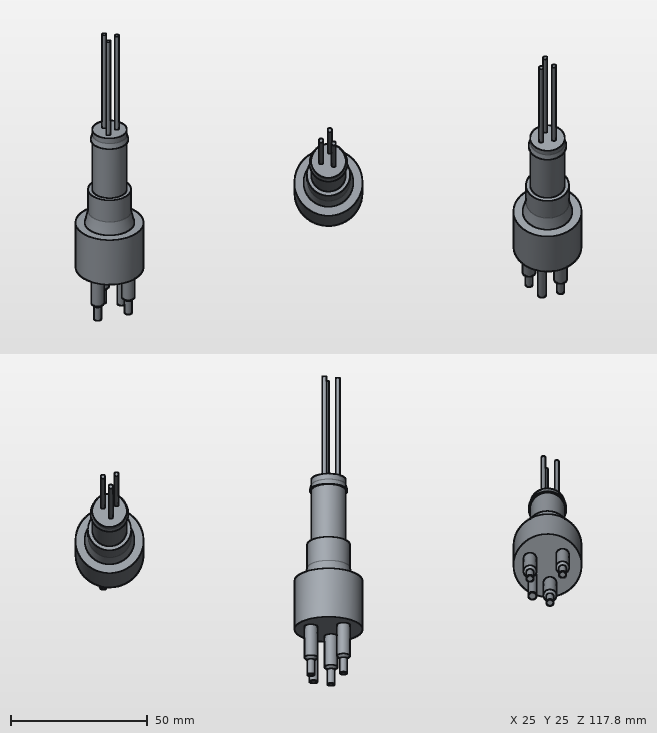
import cadquery as cq
import math

total_height = 117.8

base_bottom = 19.1
base_top = 38.2
cone_top = 43.2
collar_top = 52.4
barb_bottom = 73.7
barb_top = 75.9
tube_top = 78.0

base_diameter = 25.0
cone_diameter = 18.3
collar_diameter = 15.8
barb_diameter = 13.9
tube_diameter = 12.7

pin_circle_radius = 7.0
pin_angles = (30, 150, 270)
pin_diameter = 4.8
pin_tip_diameter = 2.8
pin_taper_top = 7.0
pin_taper_bottom = 5.9
tip_chamfer = 0.2

guide_pin_angle = 90
guide_pin_diameter = 3.2

wire_diameter = 1.6
wire_positions = ((-2.5, 0), (1.8, 2.1), (1.8, -3.0))


def revolve_outline(points):
    """Revolve a closed (radius, height) outline about the Z axis."""
    outline = cq.Workplane("XZ").polyline(points).close()
    return outline.revolve(360, (0, 0, 0), (0, 1, 0))


def make_body():
    """Base, conical shoulder, collar and tube with a barb near its end."""
    return revolve_outline([
        (0, base_bottom),
        (base_diameter / 2, base_bottom),
        (base_diameter / 2, base_top),
        (cone_diameter / 2, base_top),
        (collar_diameter / 2, cone_top),
        (collar_diameter / 2, collar_top),
        (tube_diameter / 2, collar_top),
        (tube_diameter / 2, barb_bottom),
        (barb_diameter / 2, barb_bottom),
        (tube_diameter / 2, barb_top),
        (tube_diameter / 2, tube_top),
        (0, tube_top),
    ])


def make_contact_pin():
    """Stepped pin with a short taper down to a chamfered tip."""
    return revolve_outline([
        (0, 0),
        (pin_tip_diameter / 2 - tip_chamfer, 0),
        (pin_tip_diameter / 2, tip_chamfer),
        (pin_tip_diameter / 2, pin_taper_bottom),
        (pin_diameter / 2, pin_taper_top),
        (pin_diameter / 2, base_bottom),
        (0, base_bottom),
    ])


def make_guide_pin():
    """Straight pin with a chamfered tip."""
    pin = cq.Workplane("XY").circle(guide_pin_diameter / 2).extrude(base_bottom)
    return pin.faces("<Z").chamfer(tip_chamfer)


def make_wires():
    """Straight round wires standing on the tube end."""
    wires = cq.Workplane("XY").workplane(offset=tube_top).pushPoints(wire_positions)
    return wires.circle(wire_diameter / 2).extrude(total_height - tube_top)


def on_pin_circle(pin, angle):
    """Move a pin from the axis to an angle on the pin circle."""
    turn = math.radians(angle)
    return pin.translate((pin_circle_radius * math.cos(turn), pin_circle_radius * math.sin(turn), 0))


result = make_body().union(make_wires())
for pin_angle in pin_angles:
    result = result.union(on_pin_circle(make_contact_pin(), pin_angle))
result = result.union(on_pin_circle(make_guide_pin(), guide_pin_angle))